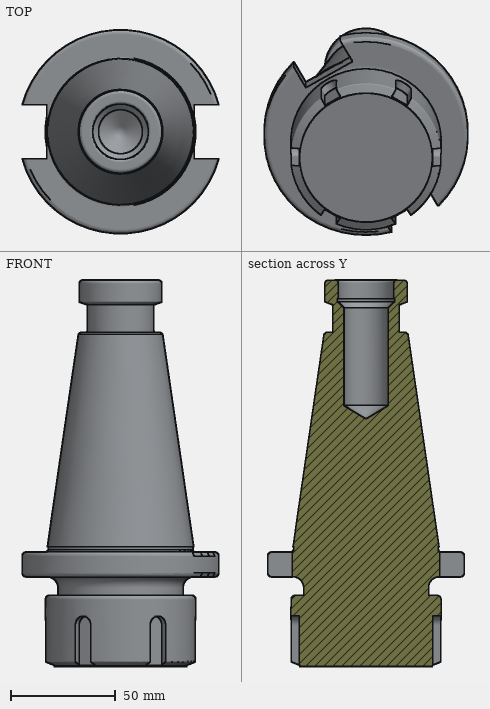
import cadquery as cq
import math

nut_diameter = 72.0
nut_height = 34.2
nut_top_fillet = 2.2
nut_lip_radius = 31.7
nut_lip_height = 0.5
nut_chamfer_top = 2.2
nut_chamfer_fillet = 0.6

spanner_slot_count = 6
spanner_slot_width = 8.5
spanner_slot_top = 24.1
spanner_slot_floor_radius = 32.0

neck_diameter = 60.0
neck_fillet = 5.0

gauge_height = 58.0
flange_offset = 3.2
flange_thickness = 12.0
flange_diameter = 97.5
flange_fillet = 2.0
drive_slot_width = 25.7
drive_slot_floor = 35.3

gauge_diameter = 69.85
taper_ratio = 7 / 24
taper_length = 101.8
taper_end_chamfer = 1.0
taper_overrun = 0.8
relief_diameter = 69.4
relief_fillet = 1.0

overall_height = 184.8
tail_diameter = 32.0
tail_fillet = 0.5
collar_diameter = 39.6
collar_height = 11.8
collar_top_fillet = 1.8
collar_underside_diameter = 33.0
collar_underside_rise = 1.2
collar_underside_fillet = 0.6

counterbore_diameter = 26.5
counterbore_depth = 9.0
bore_mouth_fillet = 1.4
bore_relief_width = 1.5
bore_relief_depth = 0.4
tap_hole_diameter = 21.0
tap_hole_depth = 60.0
drill_point_angle = 118.0

nut_radius = nut_diameter / 2
neck_radius = neck_diameter / 2
flange_radius = flange_diameter / 2
flange_top = gauge_height - flange_offset
flange_bottom = flange_top - flange_thickness
relief_radius = relief_diameter / 2
taper_top = gauge_height + taper_length
taper_bottom = gauge_height - taper_overrun
tail_radius = tail_diameter / 2
collar_radius = collar_diameter / 2
collar_bottom = overall_height - collar_height


def taper_radius(height):
    """Radius of the 7:24 taper at a given height."""
    return gauge_diameter / 2 - (height - gauge_height) * taper_ratio / 2


def direction(start, end):
    """Unit vector from one radius-height point to another."""
    length = math.dist(start, end)
    return (end[0] - start[0]) / length, (end[1] - start[1]) / length


def revolve_outline(corners):
    """Revolve a closed outline about Z. Each corner is (radius, height) or (radius, height, fillet)."""
    outline = cq.Workplane("XZ").moveTo(*corners[0][:2])
    for index in range(1, len(corners)):
        corner = corners[index][:2]
        if len(corners[index]) == 2:
            outline = outline.lineTo(*corner)
            continue
        fillet = corners[index][2]
        back = direction(corner, corners[index - 1][:2])
        ahead = direction(corner, corners[index + 1][:2])
        half_angle = math.acos(back[0] * ahead[0] + back[1] * ahead[1]) / 2
        tangent_length = fillet / math.tan(half_angle)
        arc_gap = fillet / math.sin(half_angle) - fillet
        bisector = direction((0, 0), (back[0] + ahead[0], back[1] + ahead[1]))
        arc_start = (corner[0] + tangent_length * back[0], corner[1] + tangent_length * back[1])
        arc_middle = (corner[0] + arc_gap * bisector[0], corner[1] + arc_gap * bisector[1])
        arc_end = (corner[0] + tangent_length * ahead[0], corner[1] + tangent_length * ahead[1])
        outline = outline.lineTo(*arc_start).threePointArc(arc_middle, arc_end)
    return outline.close().revolve(360, (0, 0, 0), (0, 1, 0))


def make_body():
    """Turned outside shape, from the nut face up to the top of the tail collar."""
    nut = [
        (0, 0),
        (nut_lip_radius, 0),
        (nut_lip_radius, nut_lip_height),
        (nut_radius, nut_chamfer_top, nut_chamfer_fillet),
        (nut_radius, nut_height, nut_top_fillet),
    ]
    neck_and_flange = [
        (neck_radius, nut_height),
        (neck_radius, flange_bottom, neck_fillet),
        (flange_radius, flange_bottom, flange_fillet),
        (flange_radius, flange_top, flange_fillet),
    ]
    taper = [
        (relief_radius, flange_top, relief_fillet),
        (relief_radius, taper_bottom),
        (taper_radius(taper_bottom), taper_bottom),
        (taper_radius(taper_top - taper_end_chamfer), taper_top - taper_end_chamfer),
        (taper_radius(taper_top) - taper_end_chamfer, taper_top),
    ]
    tail = [
        (tail_radius, taper_top, tail_fillet),
        (tail_radius, collar_bottom),
        (collar_underside_diameter / 2, collar_bottom),
        (collar_radius, collar_bottom + collar_underside_rise, collar_underside_fillet),
        (collar_radius, overall_height, collar_top_fillet),
        (0, overall_height),
    ]
    return revolve_outline(nut + neck_and_flange + taper + tail)


def make_bore():
    """Drawbar bore: rounded mouth, counterbore, relief groove, 45 degree seat and drilled tap hole."""
    counterbore_radius = counterbore_diameter / 2
    mouth_radius = counterbore_radius + bore_mouth_fillet
    relief_top = overall_height - counterbore_depth
    relief_bottom = relief_top - bore_relief_width
    bore_relief_radius = counterbore_radius + bore_relief_depth
    tap_radius = tap_hole_diameter / 2
    seat_bottom = relief_bottom - (counterbore_radius - tap_radius)
    tap_bottom = overall_height - tap_hole_depth
    point_depth = tap_radius / math.tan(math.radians(drill_point_angle / 2))
    bore = revolve_outline([
        (0, overall_height),
        (counterbore_radius, overall_height),
        (counterbore_radius, relief_top),
        (bore_relief_radius, relief_top),
        (bore_relief_radius, relief_bottom),
        (counterbore_radius, relief_bottom),
        (tap_radius, seat_bottom),
        (tap_radius, tap_bottom),
        (0, tap_bottom - point_depth),
    ])
    mouth_rounding = (
        cq.Workplane("XZ")
        .moveTo(0, overall_height)
        .lineTo(mouth_radius, overall_height)
        .radiusArc((counterbore_radius, overall_height - bore_mouth_fillet), -bore_mouth_fillet)
        .lineTo(0, overall_height - bore_mouth_fillet)
        .close()
        .revolve(360, (0, 0, 0), (0, 1, 0))
    )
    return bore.union(mouth_rounding)


def make_drive_slot(side):
    """Rectangular key slot through the flange on the +X (side = 1) or -X (side = -1) side."""
    depth = flange_radius - drive_slot_floor
    return (
        cq.Workplane("XY", origin=(side * (drive_slot_floor + depth / 2), 0, flange_bottom))
        .rect(depth, drive_slot_width)
        .extrude(flange_thickness)
    )


def make_spanner_slot(angle):
    """Round-topped slot, open at the lower face of the nut, at the given angle from +X."""
    half_width = spanner_slot_width / 2
    round_height = spanner_slot_top - half_width
    slot = (
        cq.Workplane("YZ", origin=(spanner_slot_floor_radius, 0, 0))
        .moveTo(-half_width, 0)
        .lineTo(half_width, 0)
        .lineTo(half_width, round_height)
        .threePointArc((0, spanner_slot_top), (-half_width, round_height))
        .close()
        .extrude(nut_radius - spanner_slot_floor_radius)
    )
    return slot.rotate((0, 0, 0), (0, 0, 1), angle)


result = make_body().cut(make_bore())
for side in (-1, 1):
    result = result.cut(make_drive_slot(side))
for index in range(spanner_slot_count):
    result = result.cut(make_spanner_slot(index * 360 / spanner_slot_count))